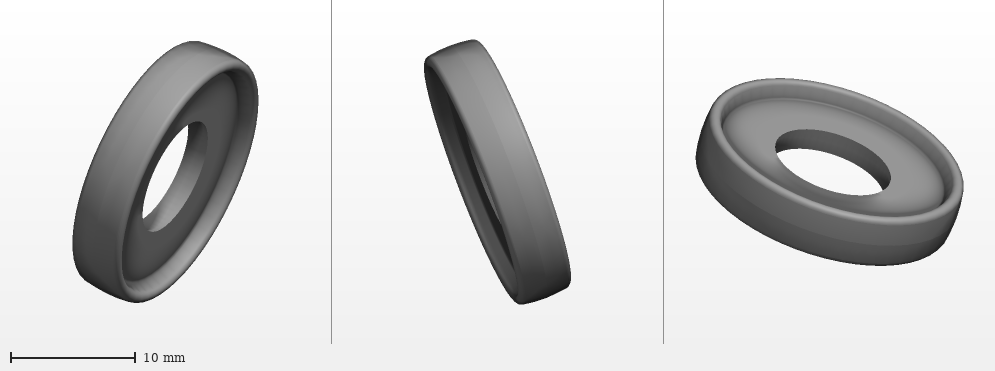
import cadquery as cq
import math

crown_radius = 10.85
half_width = 2.25
bore_radius = 4.85
floor_radius = 9.13
half_web = 0.93
rim_radius = 0.5
root_radius = 0.24

rim_axial = half_width - rim_radius
rim_radial = math.sqrt((crown_radius - rim_radius) ** 2 - rim_axial ** 2)
root_axial = half_web + root_radius
root_radial = floor_radius

axial_gap = rim_axial - root_axial
radial_gap = rim_radial - root_radial
centre_distance = math.hypot(axial_gap, radial_gap)
centre_angle = math.atan2(radial_gap, axial_gap)
wall_normal = centre_angle + math.acos((rim_radius + root_radius) / centre_distance)
wall_normal -= math.pi
crown_normal = math.atan2(rim_radial, rim_axial)


def on_arc(centre, radius, angle):
    """Point at an angle measured from the axis towards the radial direction."""
    return (centre[0] + radius * math.cos(angle), centre[1] + radius * math.sin(angle))


rim_centre = (rim_axial, rim_radial)
root_centre = (root_axial, root_radial)
wall_to_root = wall_normal + math.pi
floor_normal = math.pi

crown_edge = on_arc(rim_centre, rim_radius, crown_normal)
rim_face = (half_width, rim_radial)
wall_outer = on_arc(rim_centre, rim_radius, wall_normal)
wall_inner = on_arc(root_centre, root_radius, wall_to_root)
root_middle = on_arc(root_centre, root_radius, (wall_to_root + floor_normal) / 2)
crown_middle = on_arc((0, 0), crown_radius, (crown_normal + math.pi / 2) / 2)

half_section = (
    cq.Workplane("XY")
    .moveTo(0, bore_radius)
    .lineTo(half_web, bore_radius)
    .lineTo(half_web, floor_radius)
    .threePointArc(root_middle, wall_inner)
    .lineTo(*wall_outer)
    .threePointArc(rim_face, crown_edge)
    .threePointArc(crown_middle, (0, crown_radius))
    .close()
)
half_ring = half_section.revolve(360, (0, 0, 0), (1, 0, 0))

result = half_ring.union(half_ring.mirror("YZ"))